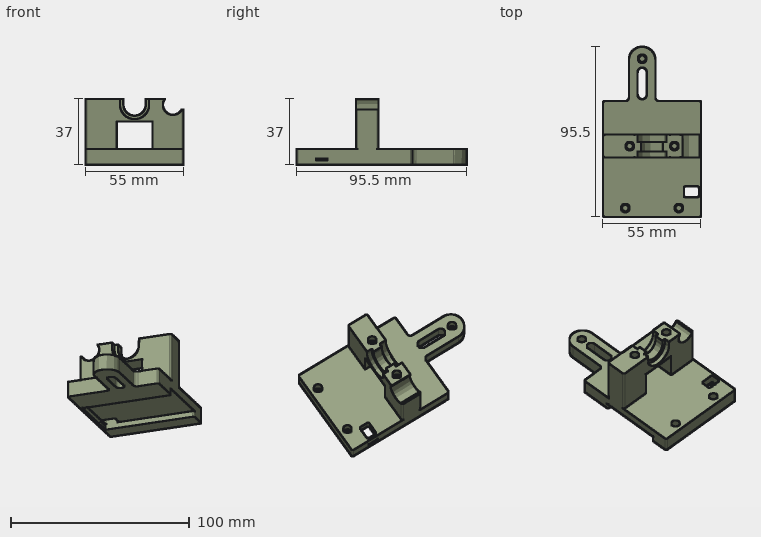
import cadquery as cq

plate_width = 55.0
plate_length = 65.0
plate_thickness = 9.0
corner_radius = 1.0
half_width = plate_width / 2

total_length = 95.5
tab_width = 15.0
tab_center_x = -5.5
tab_root_radius = 1.9
tab_radius = tab_width / 2
tab_arc_y = total_length - tab_radius

slot_width = 5.0
slot_length = 17.6
slot_center_y = 74.9

wall_front_y = 33.4
wall_thickness = 12.7
total_height = 37.0
wall_center_y = wall_front_y + wall_thickness / 2

window_width = 20.0
window_height = 15.2

cradle_axis_z = 33.8
land_radius = 6.2
seat_radius = 8.2
front_seat_depth = 3.2
rear_seat_depth = 4.0

groove_radius = 5.5
groove_x = 21.5
groove_axis_z = 33.6
lip_top_z = 31.1

screw_diameter = 4.8
screw_depth = 5.7
screw_tip_diameter = 3.7
screw_tip_depth = 1.4
plate_screw_x = 15.0
plate_screw_y = 5.1
wall_screw_x = 12.5
tab_screw_y = 88.7

pocket_front_y = 11.2
pocket_length = 34.8
pocket_depth = 3.4
pocket_mouth_radius = 1.1
pocket_end_x = 26.2
pocket_rear_y = pocket_front_y + pocket_length

opening_width = 8.2
opening_length = 6.0
opening_radius = 0.9
exit_height = 0.9


def block(x_min, x_max, y_min, y_max, z_min, z_max):
    """Axis-aligned box given by its limits."""
    size = (x_max - x_min, y_max - y_min, z_max - z_min)
    return cq.Workplane("XY").box(*size, centered=False).translate((x_min, y_min, z_min))


def round_vertical_edge(body, point, radius):
    """Fillet the vertical edge whose middle is nearest to the point."""
    return body.edges("|Z").edges(cq.selectors.NearestToPointSelector(point)).fillet(radius)


def make_base():
    """Plate with the round-ended tab joined by filleted roots."""
    plate = block(-half_width, half_width, 0, plate_length, 0, plate_thickness)
    plate = plate.edges("|Z").fillet(corner_radius)
    tab_left = tab_center_x - tab_radius
    tab_right = tab_center_x + tab_radius
    tab = block(tab_left, tab_right, wall_center_y, tab_arc_y, 0, plate_thickness)
    tab_end = cq.Workplane("XY").center(tab_center_x, tab_arc_y).circle(tab_radius).extrude(plate_thickness)
    base = plate.union(tab).union(tab_end)
    for root_x in (tab_left, tab_right):
        base = round_vertical_edge(base, (root_x, plate_length, plate_thickness / 2), tab_root_radius)
    slot = (
        cq.Workplane("XY")
        .center(tab_center_x, slot_center_y)
        .slot2D(slot_length, slot_width, 90)
        .extrude(plate_thickness)
    )
    return base.cut(slot)


def cylinder_along_y(x, z, radius, y_min, y_max):
    """Cylinder parallel to Y between two Y positions."""
    profile = cq.Workplane("XZ", origin=(0, y_min, 0)).center(x, z).circle(radius)
    return profile.extrude(y_min - y_max)


def cradle_cut(radius, y_min, y_max):
    """Round-bottomed channel along Y, open at the top of the wall."""
    bottom = cylinder_along_y(0, cradle_axis_z, radius, y_min, y_max)
    return bottom.union(block(-radius, radius, y_min, y_max, cradle_axis_z, total_height))


def make_wall():
    """Upright wall with its window, bearing cradle and side groove."""
    rear_y = wall_front_y + wall_thickness
    wall = block(-half_width, half_width, wall_front_y, rear_y, 0, total_height)
    wall = wall.edges("|Z").fillet(corner_radius)
    window_top_z = plate_thickness + window_height
    window = block(-window_width / 2, window_width / 2, wall_front_y, rear_y, plate_thickness, window_top_z)
    wall = wall.cut(window)
    wall = wall.cut(cradle_cut(land_radius, wall_front_y, rear_y))
    wall = wall.cut(cradle_cut(seat_radius, wall_front_y, wall_front_y + front_seat_depth))
    wall = wall.cut(cradle_cut(seat_radius, rear_y - rear_seat_depth, rear_y))
    wall = wall.cut(cylinder_along_y(groove_x, groove_axis_z, groove_radius, wall_front_y, rear_y))
    return wall.cut(block(groove_x, half_width, wall_front_y, rear_y, lip_top_z, total_height))


def screw_hole(x, y, top_z):
    """Blind hole with a narrower tip, sunk from the given height."""
    bore = cq.Workplane("XY", origin=(x, y, top_z)).circle(screw_diameter / 2).extrude(-screw_depth)
    return bore.faces("<Z").workplane().circle(screw_tip_diameter / 2).extrude(screw_tip_depth)


def make_pocket():
    """Underside pocket with its cable opening and cable exit."""
    pocket = block(-half_width, pocket_end_x, pocket_front_y, pocket_rear_y, 0, pocket_depth)
    opening_rear_y = pocket_front_y + opening_length
    opening = block(
        pocket_end_x - opening_width, pocket_end_x, pocket_front_y, opening_rear_y, 0, plate_thickness
    )
    opening = opening.edges("|Z").fillet(opening_radius)
    cable_exit = block(
        pocket_end_x, half_width, pocket_front_y, opening_rear_y, pocket_depth - exit_height, pocket_depth
    )
    return pocket.union(opening).union(cable_exit)


result = make_base().union(make_wall()).cut(make_pocket())
for mouth_y in (pocket_front_y, pocket_rear_y):
    result = round_vertical_edge(result, (-half_width, mouth_y, pocket_depth / 2), pocket_mouth_radius)
for side in (-1, 1):
    result = result.cut(screw_hole(side * plate_screw_x, plate_screw_y, plate_thickness))
    result = result.cut(screw_hole(side * wall_screw_x, wall_center_y, total_height))
result = result.cut(screw_hole(tab_center_x, tab_screw_y, plate_thickness))